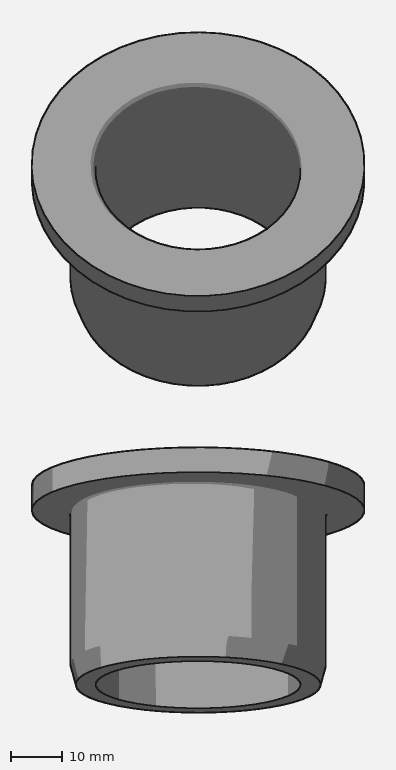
import cadquery as cq
import math

flange_diameter = 65.0
body_diameter = 50.0
bore_diameter = 40.0
total_height = 40.0
flange_thickness = 5.0
bore_mouth_radius = 2.0
neck_fillet_radius = 1.0
lead_in_height = 4.0
lead_in_angle = 15.0
edge_search_margin = 0.05

body_height = total_height - flange_thickness
lead_in_inset = lead_in_height * math.tan(math.radians(lead_in_angle))
lead_in_diameter = body_diameter - 2 * lead_in_inset


def make_body():
    """Cylinder below the flange with a tapered lower end."""
    lead_in = (
        cq.Workplane("XY")
        .circle(lead_in_diameter / 2)
        .workplane(offset=lead_in_height)
        .circle(body_diameter / 2)
        .loft(ruled=True)
    )
    cylinder = (
        cq.Workplane("XY")
        .workplane(offset=lead_in_height)
        .circle(body_diameter / 2)
        .extrude(body_height - lead_in_height)
    )
    return lead_in.union(cylinder)


def make_flange():
    return (
        cq.Workplane("XY")
        .workplane(offset=body_height)
        .circle(flange_diameter / 2)
        .extrude(flange_thickness)
    )


def round_neck(bush):
    """Fillet the inside corner between the body and the flange."""
    flange_underside = cq.selectors.BoxSelector(
        (-flange_diameter, -flange_diameter, body_height - edge_search_margin),
        (flange_diameter, flange_diameter, body_height + edge_search_margin),
    )
    return bush.edges(flange_underside).edges(cq.selectors.RadiusNthSelector(0)).fillet(neck_fillet_radius)


def cut_bore(bush):
    """Cut the through bore and round its mouth at the flange."""
    bored = bush.faces(">Z").workplane().hole(bore_diameter)
    return bored.faces(">Z").edges(cq.selectors.RadiusNthSelector(0)).fillet(bore_mouth_radius)


bush = make_body().union(make_flange())
result = cut_bore(round_neck(bush))